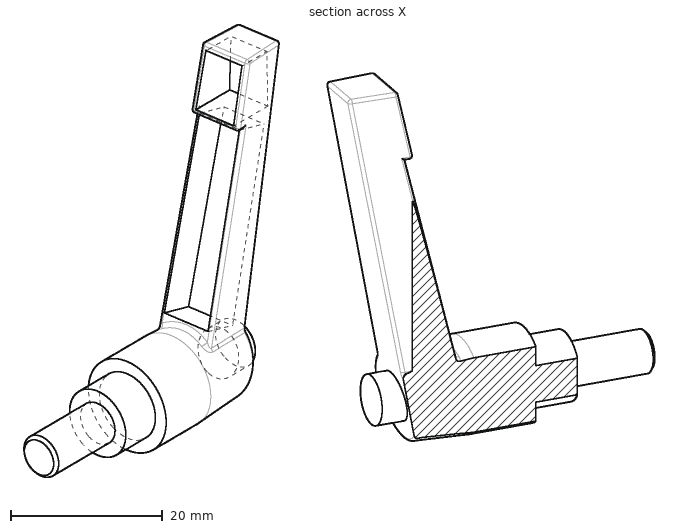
import cadquery as cq
import math


stud_radius = 3.0
stud_end = -18.0
stud_chamfer = 0.45
collar_radius = 4.9
collar_end = -6.05
button_radius = 3.5
button_end = 22.05

hub_radius = 6.75
hub_straight_length = 9.05
hub_back = 20.8
hub_draft = 3.1

overall_height = 51.95
lever_top = overall_height - hub_radius
back_top_y = 27.0
back_slope = 0.188
front_top_y = 19.9
grip_bottom = 35.35
grip_front_y = 17.65
step_depth = 1.2
lever_root_z = 2.1
front_slope = 0.246
edge_radius = 0.45
root_radius = 0.75
margin = 0.5

lever_front_y = 11.55
lever_front_half_width = 4.4
lever_back_half_width = 3.65

channel_depth = 5.1
channel_top = 35.05
channel_bottom = 7.5
channel_root_half_width = 3.85
channel_top_half_width = 3.3
socket_back_y = 24.75
socket_bottom = 36.05
socket_top = 44.3
socket_bottom_half_width = 3.25
socket_top_half_width = 3.1


def cylinder_y(radius, start, end):
    """Cylinder about the Y axis between two y positions."""
    return cq.Workplane("XZ", origin=(0, end, 0)).circle(radius).extrude(end - start)


def back_y(z):
    """Common sloping back face of the lever and hub."""
    return back_top_y - back_slope * (lever_top - z)


def front_y(z):
    """Front face of the lever below the grip."""
    return grip_front_y + step_depth - front_slope * (grip_bottom - z)


def side_profile(points):
    """Extrude a (y, z) outline symmetrically across the lever."""
    return cq.Workplane("YZ").polyline(points).close().extrude(2 * hub_radius, both=True)


def tapered_plate(bottom, top, bottom_half_width, top_half_width, back):
    """Upright trapezoid, reaching from in front of the lever to y = back."""
    outline = [
        (-bottom_half_width, bottom),
        (bottom_half_width, bottom),
        (top_half_width, top),
        (-top_half_width, top),
    ]
    return cq.Workplane("XZ", origin=(0, back, 0)).polyline(outline).close().extrude(back)


def make_hub():
    end_radius = hub_radius - (hub_back - hub_straight_length) * math.tan(math.radians(hub_draft))
    outline = [
        (0, 0),
        (hub_radius, 0),
        (hub_radius, hub_straight_length),
        (end_radius, hub_back),
        (0, hub_back),
    ]
    hub = cq.Workplane("XY").polyline(outline).close().revolve(360, (0, 0, 0), (0, 1, 0))
    in_front_of_back = side_profile([
        (back_y(-hub_radius), -hub_radius),
        (back_y(hub_radius), hub_radius),
        (0, hub_radius),
        (0, -hub_radius),
    ])
    return hub.intersect(in_front_of_back)


def make_lever():
    lever = side_profile([
        (back_y(lever_root_z), lever_root_z),
        (back_top_y, lever_top),
        (front_top_y, lever_top),
        (grip_front_y, grip_bottom),
        (front_y(grip_bottom), grip_bottom),
        (front_y(lever_root_z), lever_root_z),
    ])
    side_draft = (lever_front_half_width - lever_back_half_width) / (back_top_y - lever_front_y)
    widest = lever_front_half_width + side_draft * lever_front_y
    plan = [
        (-widest, 0),
        (widest, 0),
        (lever_back_half_width, back_top_y),
        (-lever_back_half_width, back_top_y),
    ]
    return lever.intersect(cq.Workplane("XY").polyline(plan).close().extrude(lever_top))


def channel_cutter():
    """Recess below the grip, square to the sloping front face of the lever."""
    slope_length = math.hypot(1, front_slope)
    inward_y = channel_depth / slope_length
    inward_z = -front_slope * inward_y
    section = side_profile([
        (front_y(channel_bottom) - inward_y, channel_bottom - inward_z),
        (front_y(channel_bottom) + inward_y, channel_bottom + inward_z),
        (front_y(channel_top) + inward_y, channel_top + inward_z),
        (front_y(channel_top), channel_top),
        (front_y(channel_top) - inward_y, channel_top),
    ])
    return section.intersect(tapered_plate(
        lever_root_z, lever_top, channel_root_half_width, channel_top_half_width, back_top_y))


def zone(front, back, bottom, top, half_width=hub_radius):
    """Select edges whose centres lie between these y and z limits."""
    return cq.selectors.BoxSelector((-half_width, front, bottom), (half_width, back, top))


def round_edges(body):
    """Round the outer edges of the lever, its root and the back rim."""
    channel_sides = zone(front_y(lever_root_z), front_y(grip_bottom), hub_radius, grip_bottom - margin)
    body = body.edges(channel_sides).fillet(edge_radius)

    root = zone(front_y(lever_root_z), back_y(-hub_radius), lever_root_z, hub_radius)
    curved_edges = body.edges("%ELLIPSE or %HYPERBOLA or %BSPLINE")
    body = curved_edges.edges(root).fillet(root_radius)

    grip = zone(0, back_top_y + margin, grip_bottom - margin, lever_top + margin)
    step_corner = zone(
        grip_front_y + margin, grip_front_y + step_depth + margin,
        grip_bottom - margin, grip_bottom + margin, margin)
    grip_edges = body.edges("%LINE").edges(grip - step_corner)
    back_face = cq.selectors.DirectionMinMaxSelector(cq.Vector(0, 1, -back_slope), True)
    back_rim = body.faces(back_face).edges(-grip)
    return grip_edges.add(back_rim).fillet(edge_radius)


def socket_cutter():
    """Recess in the grip with a level floor and an upright back wall."""
    return tapered_plate(
        socket_bottom, socket_top, socket_bottom_half_width, socket_top_half_width, socket_back_y)


body = round_edges(make_hub().union(make_lever()))
body = body.cut(channel_cutter()).cut(socket_cutter())

button = cylinder_y(button_radius, hub_straight_length, button_end)
collar = cylinder_y(collar_radius, collar_end, hub_straight_length)
stud = cylinder_y(stud_radius, stud_end, hub_straight_length).faces("<Y").chamfer(stud_chamfer)

result = body.union(button).union(collar).union(stud)